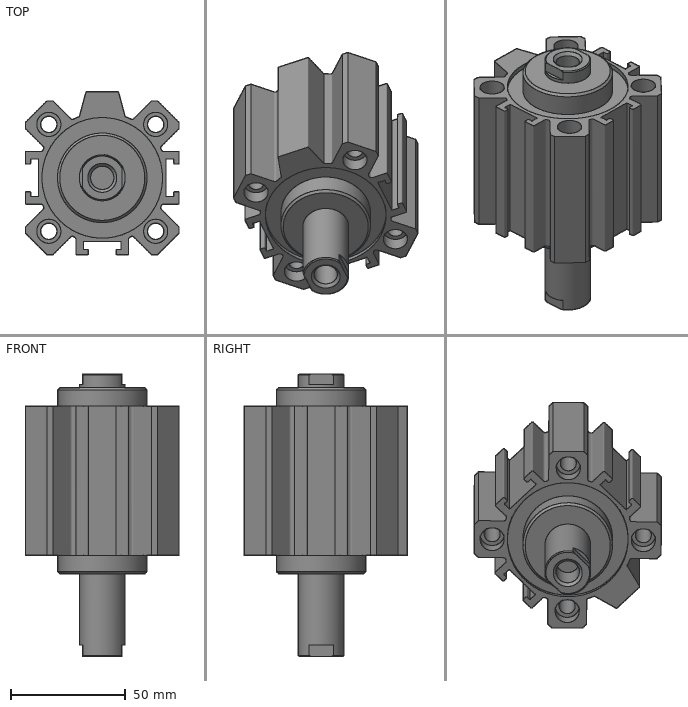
import cadquery as cq
import math

barrel_height = 65.0
boss_height = 8.0
rod_top_length = 6.0
rod_bottom_length = 36.0

half_side = 33.5
wall_radius = 28.5
lug_width = 17.0
lug_reach = 40.7
rail_width = 23.0
slot_width = 16.2
slot_mouth = 12.0
slot_floor = 27.8
lip_thickness = 2.4
rail_corner_radius = 0.5
notch_radius = 1.0
ridge_reach = 37.5
ridge_top_width = 14.2
ridge_flank_angle = 15.0
ridge_corner_radius = 0.4

bolt_spacing = 46.5
bolt_diameter = 7.0
counterbore_diameter = 10.5
counterbore_depth = 6.8
recess_diameter = 52.5
recess_depth = 2.1
boss_diameter = 39.0
boss_chamfer = 1.0

rod_diameter = 20.0
rod_chamfer = 0.5
flat_spacing = 17.0
top_flat_length = 4.5
bottom_flat_length = 5.0
thread_diameter = 10.11
thread_mouth_diameter = 12.6
thread_mouth_depth = 1.4
thread_depth = 15.0

rod_top = barrel_height + boss_height + rod_top_length
rod_bottom = -boss_height - rod_bottom_length
slot_angles = (0, 180, 270)
lug_angles = (45, 135, 225, 315)


def radial_block(inner, outer, width, angle):
    """Full-height block reaching from inner to outer radius in the direction of angle."""
    block = cq.Workplane("XY").box(outer - inner, width, barrel_height, centered=(False, True, False))
    return block.translate((inner, 0, 0)).rotate((0, 0, 0), (0, 0, 1), angle)


def make_lug(angle):
    """Corner lug, trimmed flush with the square outline of the barrel."""
    outline = cq.Workplane("XY").rect(2 * half_side, 2 * half_side).extrude(barrel_height)
    return radial_block(0, lug_reach, lug_width, angle).intersect(outline)


def make_rail(angle):
    """Solid rail block with its two outer corners rounded."""
    rail = radial_block(0, half_side, rail_width, 0)
    rail = rail.edges("|Z and >X").fillet(rail_corner_radius)
    return rail.rotate((0, 0, 0), (0, 0, 1), angle)


def make_slot(angle):
    """T-slot cavity and its narrower mouth, whose lips are rounded on the inner and outer corners."""
    lip_face = half_side - lip_thickness
    half_mouth = slot_mouth / 2
    corner = rail_corner_radius
    half_slot = (
        cq.Workplane("XY")
        .moveTo(slot_floor, 0)
        .lineTo(slot_floor, slot_width / 2)
        .lineTo(lip_face, slot_width / 2)
        .lineTo(lip_face, half_mouth + corner)
        .radiusArc((lip_face + corner, half_mouth), -corner)
        .lineTo(half_side - corner, half_mouth)
        .radiusArc((half_side, half_mouth + corner), -corner)
        .lineTo(half_side, 0)
        .close()
        .extrude(barrel_height)
    )
    slot = half_slot.union(half_slot.mirror("XZ"))
    return slot.rotate((0, 0, 0), (0, 0, 1), angle)


def make_ridge():
    """Tapered ridge on the +Y side, rooted inside the round wall."""
    root_y = wall_radius / 2
    half_top = ridge_top_width / 2
    half_root = half_top + (ridge_reach - root_y) * math.tan(math.radians(ridge_flank_angle))
    ridge = (
        cq.Workplane("XY")
        .polyline([
            (-half_root, root_y),
            (half_root, root_y),
            (half_top, ridge_reach),
            (-half_top, ridge_reach),
        ])
        .close()
        .extrude(barrel_height)
    )
    return ridge.edges("|Z and >Y").fillet(ridge_corner_radius)


def round_foot(barrel, block_width, angle):
    """Round both concave edges where a block in the direction of angle meets the round wall."""
    half_spread = math.degrees(math.asin(block_width / 2 / wall_radius))
    for edge_angle in (angle - half_spread, angle + half_spread):
        x = wall_radius * math.cos(math.radians(edge_angle))
        y = wall_radius * math.sin(math.radians(edge_angle))
        foot = cq.selectors.NearestToPointSelector((x, y, barrel_height / 2))
        barrel = barrel.edges("|Z").edges(foot).fillet(notch_radius)
    return barrel


def make_barrel():
    """Extruded profile: round wall, four lugs, three T-slots and one ridge."""
    barrel = cq.Workplane("XY").circle(wall_radius).extrude(barrel_height)
    for angle in lug_angles:
        barrel = barrel.union(make_lug(angle))
    for angle in slot_angles:
        barrel = barrel.union(make_rail(angle))
    barrel = barrel.union(make_ridge())
    for angle in lug_angles:
        barrel = round_foot(barrel, lug_width, angle)
    for angle in slot_angles:
        barrel = round_foot(barrel, rail_width, angle)
    for angle in slot_angles:
        barrel = barrel.cut(make_slot(angle))
    return barrel


def make_boss():
    """Guide boss standing on the floor of the upper recess."""
    height = recess_depth + boss_height
    boss = cq.Workplane("XY").circle(boss_diameter / 2).extrude(height)
    boss = boss.faces(">Z").edges().chamfer(boss_chamfer)
    return boss.translate((0, 0, barrel_height - recess_depth))


def make_end_cutters():
    """Round recess and bolt counterbores sunk into the upper face of the barrel."""
    recess = (
        cq.Workplane("XY")
        .workplane(offset=barrel_height - recess_depth)
        .circle(recess_diameter / 2)
        .extrude(recess_depth)
    )
    counterbores = (
        cq.Workplane("XY")
        .workplane(offset=barrel_height - counterbore_depth)
        .rect(bolt_spacing, bolt_spacing, forConstruction=True)
        .vertices()
        .circle(counterbore_diameter / 2)
        .extrude(counterbore_depth)
    )
    return [recess, counterbores]


def mirror_to_other_end(shape):
    """Copy of an upper-end feature, mirrored about the mid-height of the barrel."""
    return shape.mirror("XY", (0, 0, barrel_height / 2))


def make_rod_cylinder():
    """Plain rod, which is also the shape of its bore through the housing."""
    return (
        cq.Workplane("XY")
        .workplane(offset=rod_bottom)
        .circle(rod_diameter / 2)
        .extrude(rod_top - rod_bottom)
    )


def make_housing():
    """Barrel with recessed ends, bolt holes, a boss at each end and the rod bore."""
    housing = make_barrel()
    for cutter in make_end_cutters():
        housing = housing.cut(cutter).cut(mirror_to_other_end(cutter))
    boss = make_boss()
    housing = housing.union(boss).union(mirror_to_other_end(boss))
    bolt_holes = (
        cq.Workplane("XY")
        .rect(bolt_spacing, bolt_spacing, forConstruction=True)
        .vertices()
        .circle(bolt_diameter / 2)
        .extrude(barrel_height)
    )
    return housing.cut(bolt_holes).cut(make_rod_cylinder())


def make_thread_hole():
    """Blind hole with a countersunk mouth; the mouth is at Z = 0 and the hole runs toward -Z."""
    hole_radius = thread_diameter / 2
    mouth_radius = thread_mouth_diameter / 2
    return (
        cq.Workplane("XZ")
        .polyline([
            (0, 0),
            (mouth_radius, 0),
            (hole_radius, -thread_mouth_depth),
            (hole_radius, -thread_depth),
            (0, -thread_depth),
        ])
        .close()
        .revolve(360, (0, 0, 0), (0, 1, 0))
    )


def make_flat_cutter(side, bottom, length):
    """Block that removes one wrench flat on the +X (side = 1) or -X (side = -1) side of the rod."""
    depth = (rod_diameter - flat_spacing) / 2
    cutter = cq.Workplane("XY").box(depth, rod_diameter, length, centered=(True, True, False))
    return cutter.translate((side * (flat_spacing + depth) / 2, 0, bottom))


def make_rod():
    """Double-ended rod with wrench flats, chamfered ends and a blind thread hole in each end."""
    rod = make_rod_cylinder()
    rod = rod.faces("<Z or >Z").edges().chamfer(rod_chamfer)
    for side in (-1, 1):
        rod = rod.cut(make_flat_cutter(side, rod_top - top_flat_length, top_flat_length))
        rod = rod.cut(make_flat_cutter(side, rod_bottom, bottom_flat_length))
    hole = make_thread_hole()
    upper_hole = hole.translate((0, 0, rod_top))
    lower_hole = hole.mirror("XY").translate((0, 0, rod_bottom))
    return rod.cut(upper_hole).cut(lower_hole)


housing = make_housing()
rod = make_rod()

result = cq.Compound.makeCompound([housing.val(), rod.val()])